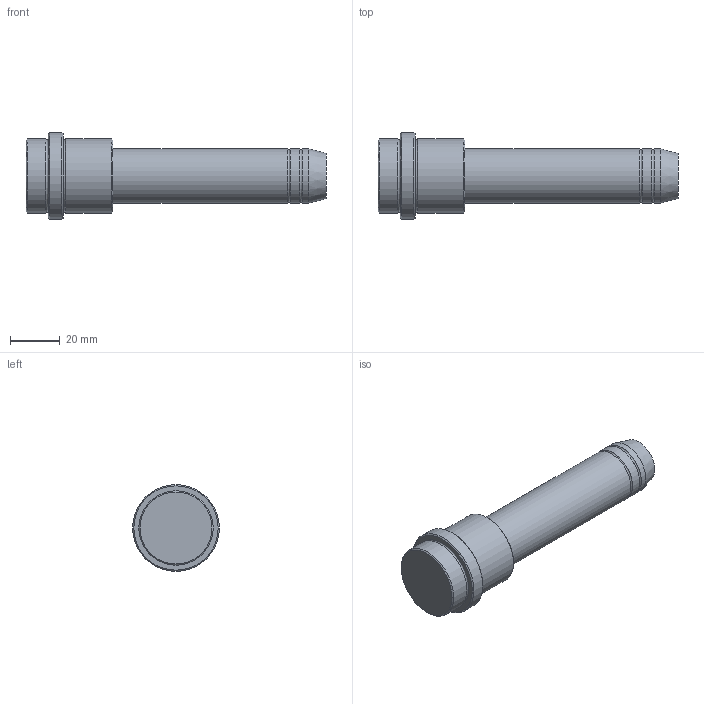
import cadquery as cq
import math

total_length = 121.0
head_radius = 30.0 / 2
flange_radius = 35.0 / 2
shaft_radius = 22.0 / 2

flange_start = 9.0
flange_end = 15.0
shoulder_end = 35.0
nose_start = 114.0

edge_chamfer = 0.5
nose_angle = 15.0
nose_drop = (total_length - nose_start) * math.tan(math.radians(nose_angle))

groove_width = 1.0
groove_depth = groove_width / 2
first_shaft_groove_start = 105.5
shaft_groove_spacing = 5.0

grooves = [
    (flange_start - groove_width, head_radius),
    (flange_end, head_radius),
    (first_shaft_groove_start, shaft_radius),
    (first_shaft_groove_start + shaft_groove_spacing, shaft_radius),
]


def revolve_about_x(outline):
    """Turn a closed outline, drawn in the XZ plane, around the X axis."""
    return outline.revolve(360, (0, 0, 0), (1, 0, 0))


def make_body():
    """Head, flange, shoulder, shaft and tapered nose as one turned solid."""
    outline = (
        cq.Workplane("XZ")
        .moveTo(0, 0)
        .lineTo(0, head_radius - edge_chamfer)
        .lineTo(edge_chamfer, head_radius)
        .lineTo(flange_start, head_radius)
        .lineTo(flange_start, flange_radius - edge_chamfer)
        .lineTo(flange_start + edge_chamfer, flange_radius)
        .lineTo(flange_end - edge_chamfer, flange_radius)
        .lineTo(flange_end, flange_radius - edge_chamfer)
        .lineTo(flange_end, head_radius)
        .lineTo(shoulder_end - edge_chamfer, head_radius)
        .lineTo(shoulder_end, head_radius - edge_chamfer)
        .lineTo(shoulder_end, shaft_radius)
        .lineTo(nose_start, shaft_radius)
        .lineTo(total_length, shaft_radius - nose_drop)
        .lineTo(total_length, 0)
        .close()
    )
    return revolve_about_x(outline)


def make_groove(start, surface_radius):
    """Half-round ring, to be cut from a cylinder of surface_radius."""
    section = (
        cq.Workplane("XZ")
        .moveTo(start, surface_radius)
        .threePointArc(
            (start + groove_width / 2, surface_radius - groove_depth),
            (start + groove_width, surface_radius),
        )
        .close()
    )
    return revolve_about_x(section)


result = make_body()
for start, surface_radius in grooves:
    result = result.cut(make_groove(start, surface_radius))